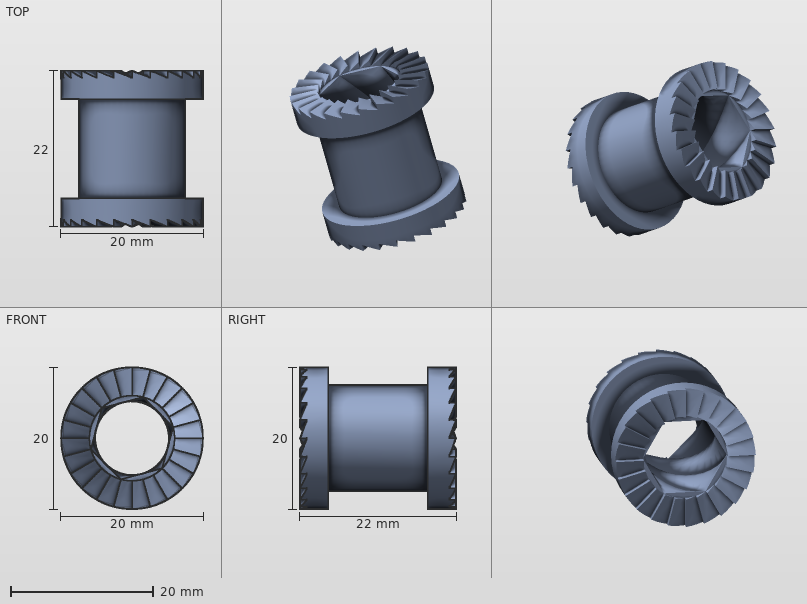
import cadquery as cq
import math

total_length = 22.0
tooth_height = 1.0
flange_thickness = 3.0
flange_radius = 10.0
barrel_radius = 7.5
teeth_count = 24
cutter_overrun = 1.0

bore_corner_radius = 6.0
bore_sides = 6
bore_corner_angle = 15.0
bore_twist = 135.0

body_length = total_length - 2 * tooth_height
body_end = body_length / 2
barrel_end = body_end - flange_thickness
crest_end = total_length / 2
tooth_pitch = 360.0 / teeth_count

gullet_inner_radius = bore_corner_radius / 2
root_outer_radius = flange_radius * math.cos(math.radians(tooth_pitch))


def cylinder(radius, start_y, length):
    """Cylinder along +Y starting at start_y."""
    return cq.Workplane("XZ", origin=(0, start_y, 0)).circle(radius).extrude(-length)


def polar_point(radius, angle, y):
    """Point at a radius and angle (degrees, from +X towards +Z) about the spool axis."""
    angle = math.radians(angle)
    return cq.Vector(radius * math.cos(angle), y, radius * math.sin(angle))


def flat_face(*corners):
    """Planar face through the given corners."""
    return cq.Face.makeFromWires(cq.Wire.makePolygon(corners, close=True))


def ruled_face(start_a, end_a, start_b, end_b):
    """Ruled face between the straight lines a and b."""
    line_a = cq.Edge.makeLine(start_a, end_a)
    line_b = cq.Edge.makeLine(start_b, end_b)
    return cq.Face.makeRuledSurface(line_a, line_b)


def make_body():
    """Barrel with a flange at each end, thick enough to cut the teeth from and recessed inside them."""
    body = cylinder(barrel_radius, -body_end, body_length)
    body = body.union(cylinder(flange_radius, -crest_end, flange_thickness + tooth_height))
    body = body.union(cylinder(flange_radius, barrel_end, flange_thickness + tooth_height))
    body = body.cut(cylinder(bore_corner_radius, -crest_end, tooth_height))
    return body.cut(cylinder(bore_corner_radius, body_end, tooth_height))


def make_bore():
    """Hexagonal prism that twists along the body."""
    hexagon = cq.Workplane("XY").polygon(bore_sides, 2 * bore_corner_radius)
    prism = hexagon.twistExtrude(body_length, bore_twist)
    prism = prism.rotate((0, 0, 0), (1, 0, 0), -90).translate((0, -body_end, 0))
    return prism.rotate((0, 0, 0), (0, 1, 0), -bore_corner_angle)


def make_gullet():
    """Space above one -Y tooth: its ramp climbs clockwise, seen from -Y, and runs out through the rim.

    The ramp is two patches that meet on the line from the root, inside the rim, to the crest on the rim.
    """
    root_radii = (gullet_inner_radius, root_outer_radius, root_outer_radius + cutter_overrun)
    crest_radii = (gullet_inner_radius, flange_radius, flange_radius + cutter_overrun)
    root_in, root_mid, root_out = [polar_point(radius, 0, -body_end) for radius in root_radii]
    top_in, top_mid, top_out = [polar_point(radius, 0, -crest_end) for radius in root_radii]
    crest_in, crest_mid, crest_out = [
        polar_point(radius, -tooth_pitch, -crest_end) for radius in crest_radii
    ]
    faces = [
        ruled_face(root_in, root_mid, crest_in, crest_mid),
        ruled_face(root_mid, root_out, crest_mid, crest_out),
        flat_face(root_in, root_mid, root_out, top_out, top_mid, top_in),
        flat_face(top_in, top_mid, top_out, crest_out, crest_mid, crest_in),
        flat_face(root_in, top_in, crest_in),
        flat_face(root_out, top_out, crest_out),
    ]
    return cq.Workplane(cq.Solid.makeSolid(cq.Shell.makeShell(faces)))


def cut_teeth(body):
    """Ring of saw teeth on each end face; the +Y ring is the -Y ring turned half round about Z."""
    front_gullet = make_gullet()
    back_gullet = front_gullet.rotate((0, 0, 0), (0, 0, 1), 180)
    for gullet in (front_gullet, back_gullet):
        for index in range(teeth_count):
            body = body.cut(gullet.rotate((0, 0, 0), (0, 1, 0), index * tooth_pitch))
    return body


result = cut_teeth(make_body()).cut(make_bore())